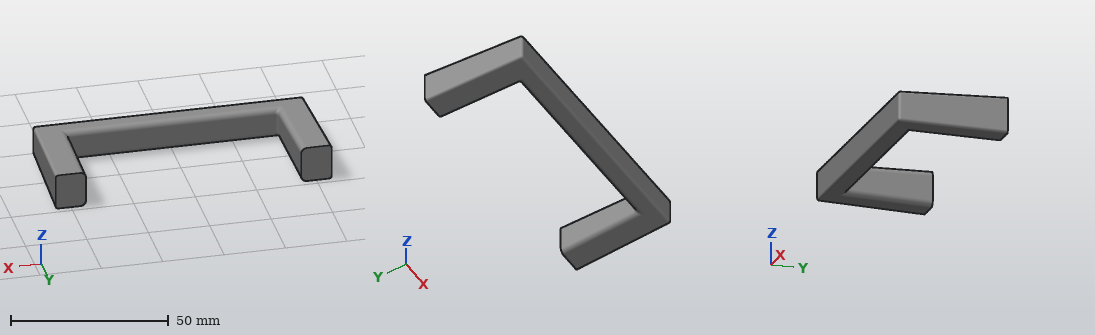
import cadquery as cq

length = 90.0
depth = 36.0
mount_height = 12.0

side_taper = 1.0
leg_width = 10.0
grip_thickness = 7.0

outer_radius = 1.0
inner_radius = 2.0
corner_radius = 1.0

front_y = -depth
grip_back_y = front_y + grip_thickness
half_length = length / 2
half_height = mount_height / 2


def taper_at(y):
    """Inward shift of a drafted face at a distance -y from the mounting face."""
    return -y / depth * side_taper


front_half_length = half_length - taper_at(front_y)
opening_mount_x = half_length - leg_width
opening_grip_x = opening_mount_x - taper_at(grip_back_y)

plan = [
    (-half_length, 0),
    (-front_half_length, front_y),
    (front_half_length, front_y),
    (half_length, 0),
    (opening_mount_x, 0),
    (opening_grip_x, grip_back_y),
    (-opening_grip_x, grip_back_y),
    (-opening_mount_x, 0),
]
handle = cq.Workplane("XY").polyline(plan).close().extrude(half_height, both=True)

front_half_height = half_height - taper_at(front_y)
side_profile = [
    (0, -half_height),
    (0, half_height),
    (front_y, front_half_height),
    (front_y, -front_half_height),
]
wedge = cq.Workplane("YZ").polyline(side_profile).close().extrude(half_length, both=True)
handle = handle.intersect(wedge)

margin = 0.1
opening_zone = cq.selectors.BoxSelector(
    (-opening_mount_x - margin, grip_back_y - margin, -mount_height),
    (opening_mount_x + margin, -margin, mount_height),
)

handle = handle.edges(opening_zone).edges("not |Z").fillet(inner_radius)

handle = handle.edges(opening_zone).edges("|Z").fillet(corner_radius)

result = handle.faces("<Y or <X or >X").edges("not(>Y)").fillet(outer_radius)